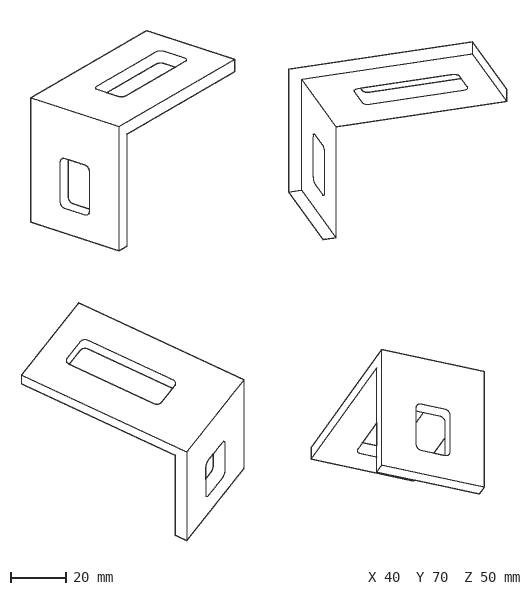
import cadquery as cq

width = 40.0
length = 70.0
height = 50.0
thickness = 5.0

slot_width = 13.15
slot_corner_radius = 2.0
slot_end_margin = 10.0
top_slot_length = 40.0
front_slot_length = 20.0


def rounded_slot(size_x, size_y, size_z, axis):
    """Block centred on the origin, rounded along the given axis."""
    return cq.Workplane("XY").box(size_x, size_y, size_z).edges("|" + axis).fillet(slot_corner_radius)


body = (
    cq.Workplane("YZ")
    .moveTo(0, 0)
    .lineTo(thickness, 0)
    .lineTo(thickness, height - thickness)
    .lineTo(length, height - thickness)
    .lineTo(length, height)
    .lineTo(0, height)
    .close()
    .extrude(width / 2, both=True)
)

cut_depth = 2 * thickness
top_slot_y = length - slot_end_margin - top_slot_length / 2
top_slot = rounded_slot(slot_width, top_slot_length, cut_depth, "Z").translate(
    (0, top_slot_y, height - thickness / 2)
)

front_slot_z = slot_end_margin + front_slot_length / 2
front_slot = rounded_slot(slot_width, cut_depth, front_slot_length, "Y").translate(
    (0, thickness / 2, front_slot_z)
)

result = body.cut(top_slot).cut(front_slot)